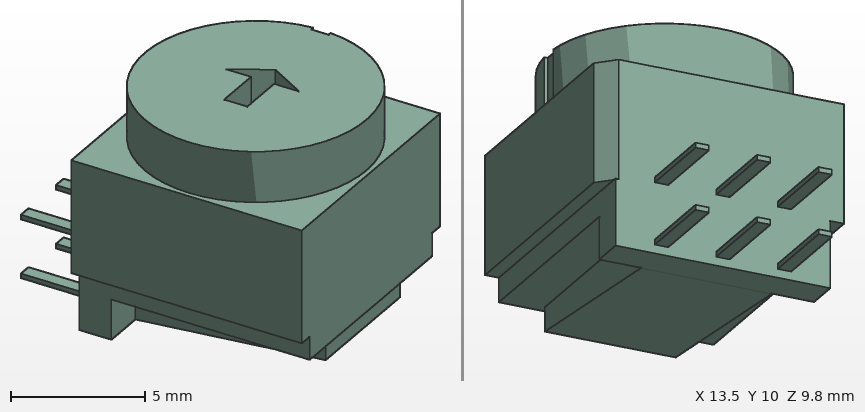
import cadquery as cq

total_length = 13.5
total_height = 9.8

housing_side = 10.0
housing_bottom = 2.74
housing_top = 7.61
corner_chamfer = 0.7
housing_left = total_length - housing_side
housing_center = total_length - housing_side / 2
housing_height = housing_top - housing_bottom

base_width = 8.87
flange_bottom = 1.74
leg_length = 1.4
leg_right = housing_left + leg_length
rib_width = 5.4
rib_right = 13.15
rib_end_bottom = 0.74

knob_diameter = 9.6
notch_width = 0.75
notch_depth = 0.16
arrow_tip = 1.42
arrow_shoulder = 0.5
arrow_tail = -1.45
arrow_half_width = 1.58
shaft_half_width = 0.5
arrow_depth = 1.48

pin_pitch = 2.54
pin_width = 0.55
pin_thickness = 0.2
lower_pin_height = 0.46
pin_rows = 2
pins_per_row = 3


def make_housing():
    block = (
        cq.Workplane("XY", origin=(housing_center, 0, housing_bottom))
        .rect(housing_side, housing_side)
        .extrude(housing_height)
    )
    return block.edges("|Z and <X and >Y").chamfer(corner_chamfer)


def make_base():
    flange_and_leg = (
        cq.Workplane("XZ")
        .moveTo(housing_left, 0)
        .lineTo(leg_right, 0)
        .lineTo(leg_right, flange_bottom)
        .lineTo(total_length, flange_bottom)
        .lineTo(total_length, housing_bottom)
        .lineTo(housing_left, housing_bottom)
        .close()
        .extrude(base_width / 2, both=True)
    )
    rib = (
        cq.Workplane("XZ")
        .moveTo(leg_right, 0)
        .lineTo(rib_right, rib_end_bottom)
        .lineTo(rib_right, flange_bottom)
        .lineTo(leg_right, flange_bottom)
        .close()
        .extrude(rib_width / 2, both=True)
    )
    return flange_and_leg.union(rib)


def make_knob():
    knob_radius = knob_diameter / 2
    knob_height = total_height - housing_top
    disc = (
        cq.Workplane("XY", origin=(housing_center, 0, housing_top))
        .circle(knob_radius)
        .extrude(knob_height)
    )
    notch = (
        cq.Workplane("XY", origin=(housing_center, knob_radius, housing_top))
        .rect(notch_width, 2 * notch_depth)
        .extrude(knob_height)
    )
    arrow = (
        cq.Workplane("XY", origin=(housing_center, 0, total_height))
        .moveTo(0, arrow_tip)
        .lineTo(arrow_half_width, arrow_shoulder)
        .lineTo(shaft_half_width, arrow_shoulder)
        .lineTo(shaft_half_width, arrow_tail)
        .lineTo(-shaft_half_width, arrow_tail)
        .lineTo(-shaft_half_width, arrow_shoulder)
        .lineTo(-arrow_half_width, arrow_shoulder)
        .close()
        .extrude(-arrow_depth)
    )
    return disc.cut(notch).cut(arrow)


def make_pins():
    pins = cq.Workplane("YZ", origin=(0, 0, lower_pin_height + pin_pitch * (pin_rows - 1) / 2))
    return (
        pins.rarray(pin_pitch, pin_pitch, pins_per_row, pin_rows)
        .rect(pin_width, pin_thickness)
        .extrude(housing_left)
    )


result = make_housing().union(make_base()).union(make_knob()).union(make_pins())